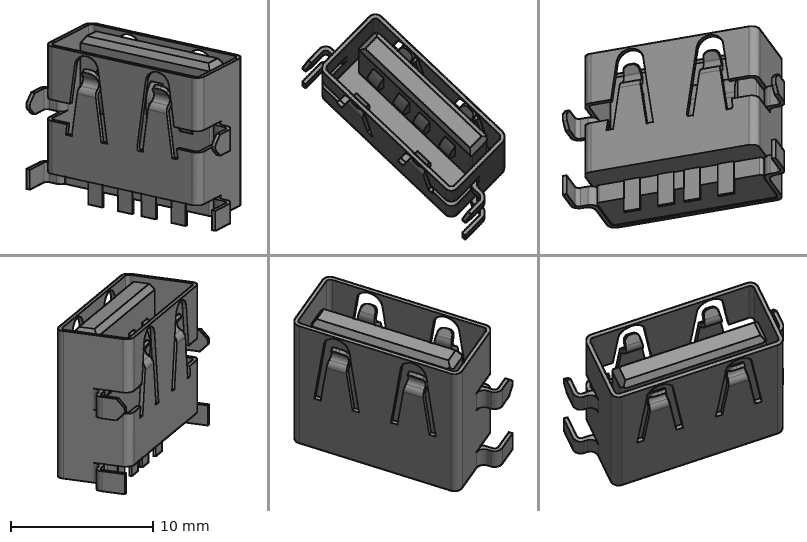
import cadquery as cq
import math


sheet = 0.3
shell_width = 12.99
shell_depth = 5.72
shell_height = 11.0
corner_radius = 2 * sheet
inner_radius = corner_radius - sheet
outer_wall_x = shell_width / 2
inner_wall_x = outer_wall_x - sheet
inner_wall_y = shell_depth / 2 - sheet

window_spacing = 5.96
window_x = window_spacing / 2
window_bottom = 4.65
window_top = 10.85
window_top_radius = 1.0
window_corner_radius = 0.19
side_tilt = math.radians(8)
finger_root_half = 1.24
finger_bend_start = 7.9
finger_lean_in = math.radians(65)
finger_lean_out = math.radians(40)
lower_bend_radius = 0.55
crest_radius = 0.43
finger_tip_length = 0.67
finger_tip_radius = 0.45

leg_span = 15.9
leg_front_y = -2.99
leg_bend_radius = 2 * sheet
leg_shelf_y = -0.65
upper_leg_bottom = 5.44
upper_leg_height = 1.59
lower_leg_height = 1.5
tip_chamfer = 0.6
tip_fillet = 0.3

body_bottom = 0.1
body_front_y = -0.87
body_corner_radius = 0.2
floor_top = 2.23
tongue_half_width = 5.53
tongue_front_y = 0.11
tongue_back_y = 1.97
tongue_top = 10.95
tongue_back_radius = 0.45
tongue_front_radius = 0.13
side_bevel_height = 0.64
face_bevel_height = 0.48
bevel_side = 0.41
bevel_front = 0.32
bevel_back = 0.37

contact_centres = (-3.5, -0.99, 0.99, 3.5)
contact_width = 1.02
contact_bottom = 5.52
contact_top = 8.78
contact_flat_height = 0.4
contact_bulge_y = -0.51
tail_width = 1.2
tail_thickness = 0.2
tail_front_y = -0.97
tail_drop = 1.0


def block(x0, x1, y0, y1, z0, z1):
    """Axis-aligned box between two opposite corners."""
    return cq.Workplane("XY").box(x1 - x0, y1 - y0, z1 - z0, centered=False).translate((x0, y0, z0))


def rounded_block(width, depth, radius, z0, z1):
    """Upright prism with a rounded rectangular section."""
    core = cq.Workplane("XY", origin=(0, 0, z0)).rect(width, depth).extrude(z1 - z0)
    return core.edges("|Z").fillet(radius)


def mirrored_pair(solid):
    """The solid together with its left-right mirror image."""
    return solid.union(solid.mirror("YZ"))


def window_cutter(centre_x, front, rounded):
    """Tapered window with a round top, cutting the front or the back wall."""
    overlap = sheet / 2
    cut_depth = sheet + 2 * overlap
    arc_z = window_top - window_top_radius
    rise = arc_z - window_bottom
    half_bottom = (window_top_radius + rise * math.sin(side_tilt)) / math.cos(side_tilt)
    tangent_x = window_top_radius * math.cos(side_tilt)
    tangent_z = arc_z + window_top_radius * math.sin(side_tilt)
    cutter = (
        cq.Workplane("XZ")
        .moveTo(-half_bottom, window_bottom)
        .lineTo(half_bottom, window_bottom)
        .lineTo(tangent_x, tangent_z)
        .threePointArc((0, window_top), (-tangent_x, tangent_z))
        .close()
        .extrude(cut_depth)
    )
    if rounded:
        cutter = cutter.faces("<Z").edges("|Y").fillet(window_corner_radius)
    cutter = cutter.translate((centre_x, -inner_wall_y + overlap, 0))
    return cutter if front else cutter.mirror("XZ")


def spring_finger():
    """Front-wall finger at X = 0: bent inward, then flared outward at its tip."""
    y0 = -shell_depth / 2
    z0 = finger_bend_start
    outer_bend = lower_bend_radius

    def lower_bend(angle, radius):
        return (y0 + outer_bend - radius * math.cos(angle), z0 + radius * math.sin(angle))

    reach = outer_bend + crest_radius
    crest_y = y0 + outer_bend - reach * math.cos(finger_lean_in)
    crest_z = z0 + reach * math.sin(finger_lean_in)

    def crest(angle, radius):
        return (crest_y + radius * math.cos(angle), crest_z + radius * math.sin(angle))

    def tip(point):
        return (
            point[0] - finger_tip_length * math.sin(finger_lean_out),
            point[1] + finger_tip_length * math.cos(finger_lean_out),
        )

    inner_bend = outer_bend - sheet
    inner_crest = crest_radius + sheet
    mid_crest = (finger_lean_out - finger_lean_in) / 2
    strip = (
        cq.Workplane("YZ")
        .moveTo(y0, window_bottom)
        .lineTo(y0, z0)
        .threePointArc(lower_bend(finger_lean_in / 2, outer_bend), lower_bend(finger_lean_in, outer_bend))
        .threePointArc(crest(mid_crest, crest_radius), crest(finger_lean_out, crest_radius))
        .lineTo(*tip(crest(finger_lean_out, crest_radius)))
        .lineTo(*tip(crest(finger_lean_out, inner_crest)))
        .lineTo(*crest(finger_lean_out, inner_crest))
        .threePointArc(crest(mid_crest, inner_crest), crest(-finger_lean_in, inner_crest))
        .threePointArc(lower_bend(finger_lean_in / 2, inner_bend), (y0 + sheet, z0))
        .lineTo(y0 + sheet, window_bottom)
        .close()
        .extrude(finger_root_half, both=True)
    )
    half_top = finger_root_half - (shell_height - window_bottom) * math.tan(side_tilt)
    taper = (
        cq.Workplane("XZ")
        .moveTo(-finger_root_half, window_bottom)
        .lineTo(finger_root_half, window_bottom)
        .lineTo(half_top, shell_height)
        .lineTo(-half_top, shell_height)
        .close()
        .extrude(shell_depth)
    )
    finger = strip.intersect(taper)
    return finger.faces(">Z").edges("not |X").fillet(finger_tip_radius)


def make_shell():
    shell = rounded_block(shell_width, shell_depth, corner_radius, 0, shell_height)
    shell = shell.cut(rounded_block(2 * inner_wall_x, 2 * inner_wall_y, inner_radius, 0, shell_height))

    leg_start_y = leg_shelf_y + leg_bend_radius
    upper_leg_top = upper_leg_bottom + upper_leg_height
    blank = block(window_x, outer_wall_x, -shell_depth / 2, leg_start_y, upper_leg_bottom, upper_leg_top)
    shell = shell.cut(mirrored_pair(blank))
    shell = shell.cut(block(-outer_wall_x, outer_wall_x, -shell_depth / 2, leg_start_y, 0, lower_leg_height))

    finger = spring_finger()
    for centre_x in (-window_x, window_x):
        for front in (True, False):
            rounded = front and centre_x > 0
            shell = shell.cut(window_cutter(centre_x, front, rounded))
            placed = finger if front else finger.mirror("XZ")
            shell = shell.union(placed.translate((centre_x, 0, 0)))
    return shell


def make_leg(bottom, height):
    """Right-hand leg: out from the side wall, then forward (-Y)."""
    radius = leg_bend_radius
    diagonal = math.sqrt(0.5)
    tip_x = leg_span / 2
    under_y = leg_shelf_y - sheet
    concave_x = outer_wall_x + radius
    concave_y = leg_shelf_y + radius
    convex_x = inner_wall_x + radius
    convex_y = under_y + radius
    knee_x = tip_x - radius
    knee_y = leg_shelf_y - radius
    knee_inner = radius - sheet
    return (
        cq.Workplane("XY", origin=(0, 0, bottom))
        .moveTo(inner_wall_x, concave_y)
        .lineTo(outer_wall_x, concave_y)
        .threePointArc(
            (concave_x - radius * diagonal, concave_y - radius * diagonal),
            (concave_x, leg_shelf_y),
        )
        .lineTo(knee_x, leg_shelf_y)
        .threePointArc((knee_x + radius * diagonal, knee_y + radius * diagonal), (tip_x, knee_y))
        .lineTo(tip_x, leg_front_y)
        .lineTo(tip_x - sheet, leg_front_y)
        .lineTo(tip_x - sheet, knee_y)
        .threePointArc(
            (knee_x + knee_inner * diagonal, knee_y + knee_inner * diagonal),
            (knee_x, under_y),
        )
        .lineTo(convex_x, under_y)
        .threePointArc(
            (convex_x - radius * diagonal, convex_y - radius * diagonal),
            (inner_wall_x, convex_y),
        )
        .close()
        .extrude(height)
    )


def make_legs():
    lower = make_leg(0, lower_leg_height)
    upper = make_leg(upper_leg_bottom, upper_leg_height)
    upper = upper.faces("<Y").edges("|X").chamfer(tip_chamfer)
    upper = upper.faces("<Y").edges("|X").fillet(tip_fillet)
    return mirrored_pair(lower.union(upper))


def make_tongue():
    """Tongue with rounded upright corners and four bevels around its top."""
    tongue = block(
        -tongue_half_width, tongue_half_width, tongue_front_y, tongue_back_y, body_bottom, tongue_top
    )
    tongue = tongue.edges("|Z and >Y").fillet(tongue_back_radius)
    tongue = tongue.edges("|Z and <Y").fillet(tongue_front_radius)
    side_bevel_z = tongue_top - side_bevel_height
    face_bevel_z = tongue_top - face_bevel_height
    side_bevels = (
        cq.Workplane("XZ")
        .moveTo(-tongue_half_width, body_bottom)
        .lineTo(-tongue_half_width, side_bevel_z)
        .lineTo(-tongue_half_width + bevel_side, tongue_top)
        .lineTo(tongue_half_width - bevel_side, tongue_top)
        .lineTo(tongue_half_width, side_bevel_z)
        .lineTo(tongue_half_width, body_bottom)
        .close()
        .extrude(shell_depth, both=True)
    )
    face_bevels = (
        cq.Workplane("YZ")
        .moveTo(tongue_front_y, body_bottom)
        .lineTo(tongue_front_y, face_bevel_z)
        .lineTo(tongue_front_y + bevel_front, tongue_top)
        .lineTo(tongue_back_y - bevel_back, tongue_top)
        .lineTo(tongue_back_y, face_bevel_z)
        .lineTo(tongue_back_y, body_bottom)
        .close()
        .extrude(shell_width, both=True)
    )
    return tongue.intersect(side_bevels).intersect(face_bevels)


def make_body():
    """Floor across the shell, a narrower base beneath it and the tongue above."""
    floor = rounded_block(2 * inner_wall_x, 2 * inner_wall_y, inner_radius, lower_leg_height, floor_top)
    base = block(-inner_wall_x, inner_wall_x, body_front_y, inner_wall_y, body_bottom, floor_top)
    base = base.edges("|Z").fillet(body_corner_radius)
    return floor.union(base).union(make_tongue())


def make_contact(centre_x):
    """Arched contact on the tongue's front face and the flat tail below the floor."""
    middle_z = (contact_bottom + contact_top) / 2
    arch = (
        cq.Workplane("YZ", origin=(centre_x, 0, middle_z))
        .moveTo(contact_bulge_y, 0)
        .lineTo(contact_bulge_y, contact_flat_height / 2)
        .tangentArcPoint((tongue_front_y, contact_top - middle_z), relative=False)
        .lineTo(tongue_front_y, 0)
        .mirrorX()
        .extrude(contact_width / 2, both=True)
    )
    tail = block(
        centre_x - tail_width / 2,
        centre_x + tail_width / 2,
        tail_front_y,
        tail_front_y + tail_thickness,
        -tail_drop,
        floor_top,
    )
    return arch.union(tail)


result = make_shell().union(make_legs()).union(make_body())
for contact_x in contact_centres:
    result = result.union(make_contact(contact_x))